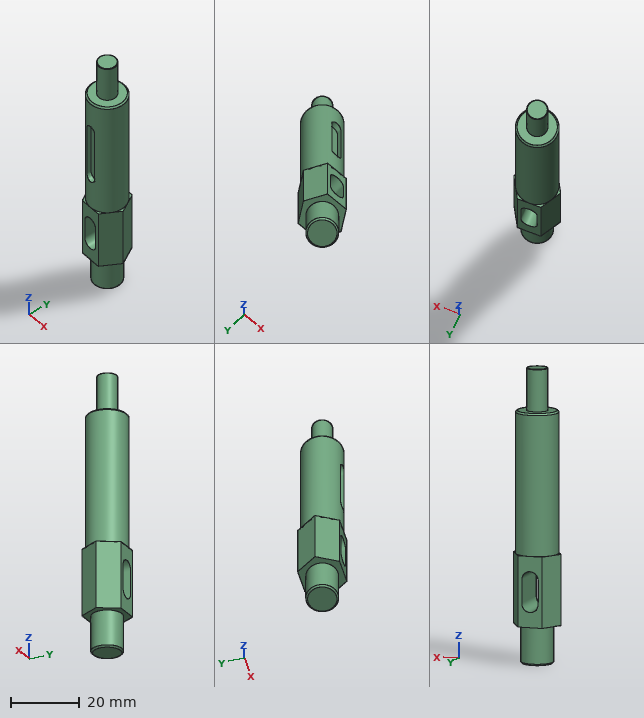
import cadquery as cq
import math

TOTAL_LENGTH = 87.2
SPIGOT_LENGTH = 11.5
HEX_LENGTH = 21.0
BODY_LENGTH = 42.1

HEX_ACROSS_FLATS = 12.7
BODY_DIAMETER = HEX_ACROSS_FLATS
SPIGOT_DIAMETER = 9.6
PIN_DIAMETER = 6.2

BODY_CHAMFER = 0.5
SPIGOT_CHAMFER = 0.5
PIN_CHAMFER = 0.2

WINDOW_WIDTH = 5.0
WINDOW_LENGTH = 12.0
WINDOW_CENTER_Z = SPIGOT_LENGTH + HEX_LENGTH / 2

KEYWAY_WIDTH = 3.5
KEYWAY_LENGTH = 22.1
KEYWAY_DEPTH = 1.75
KEYWAY_CENTER_Z = 53.9

HEX_BOTTOM = SPIGOT_LENGTH
BODY_BOTTOM = HEX_BOTTOM + HEX_LENGTH
PIN_BOTTOM = BODY_BOTTOM + BODY_LENGTH
PIN_LENGTH = TOTAL_LENGTH - PIN_BOTTOM


def cylinder(diameter, bottom, length):
    """Round section of the shaft standing on height `bottom`."""
    return cq.Workplane("XY").workplane(offset=bottom).circle(diameter / 2).extrude(length)


def upright_slot(width, length, center_z, start_y, depth):
    """Round-ended cutter, long in Z, running along +Y from `start_y`."""
    return (
        cq.Workplane("XZ", origin=(0, start_y, center_z))
        .slot2D(length, width, angle=90)
        .extrude(-depth)
    )


spigot = cylinder(SPIGOT_DIAMETER, 0, SPIGOT_LENGTH).faces("<Z").chamfer(SPIGOT_CHAMFER)
hexagon = (
    cq.Workplane("XY")
    .workplane(offset=HEX_BOTTOM)
    .polygon(6, HEX_ACROSS_FLATS / math.cos(math.pi / 6))
    .extrude(HEX_LENGTH)
)
body = cylinder(BODY_DIAMETER, BODY_BOTTOM, BODY_LENGTH).faces(">Z").chamfer(BODY_CHAMFER)
pin = cylinder(PIN_DIAMETER, PIN_BOTTOM, PIN_LENGTH).faces(">Z").chamfer(PIN_CHAMFER)
shaft = spigot.union(hexagon).union(body).union(pin)

window = upright_slot(
    WINDOW_WIDTH, WINDOW_LENGTH, WINDOW_CENTER_Z, -HEX_ACROSS_FLATS, 2 * HEX_ACROSS_FLATS
)
keyway = upright_slot(
    KEYWAY_WIDTH, KEYWAY_LENGTH, KEYWAY_CENTER_Z, -BODY_DIAMETER / 2, KEYWAY_DEPTH
)
result = shaft.cut(window).cut(keyway)